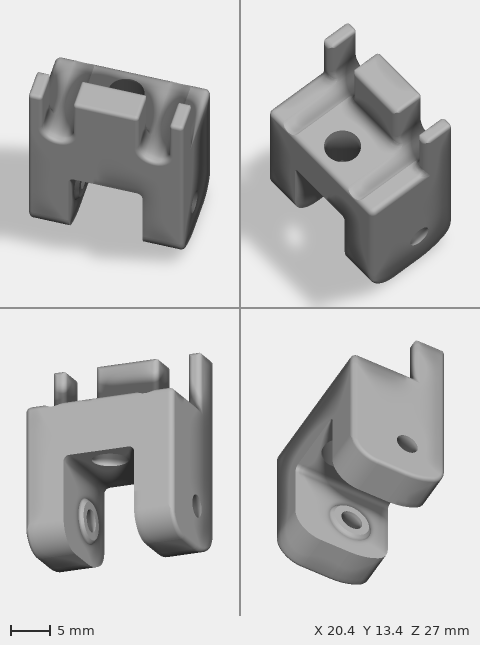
import cadquery as cq
import math

width = 20.4
depth = 13.4
height = 27.02

finger_depth = 4.4
ledge_height = 19.36

slot_radius = 2.05
slot_spacing = 12.7
slot_center_z = 20.95

gap_width = 9.7
gap_height = 12.0
gap_corner_radius = 0.75

pivot_y = 5.5
pivot_z = 5.73
pivot_diameter = 3.0
boss_base_diameter = 6.0
boss_height = 0.5
boss_tip_diameter = boss_base_diameter - 2 * boss_height

ledge_hole_diameter = 4.7
ledge_hole_y = 9.63

rear_corner_radius = 3.75
front_corner_radius = 2.8
sole_radius = 8.2

small_fillet = 0.5
large_fillet = 0.75


overrun = 1.0
tolerance = 0.01


def near(value, target):
    return abs(value - target) < tolerance


def runs_along_x(box):
    return not near(box.xmin, box.xmax)


def fillet_edges(solid, chosen, radius):
    """Round every edge whose bounding box passes the test `chosen`."""
    edges = [edge for edge in solid.edges().vals() if chosen(edge.BoundingBox())]
    return solid.newObject([solid.findSolid().fillet(radius, edges)])


def lug_profile():
    """Full-depth outline in the YZ plane, with all the lower corners rounded."""
    radius_gap = sole_radius - front_corner_radius
    center_offset_y = pivot_y - front_corner_radius
    front_center_z = sole_radius - math.sqrt(radius_gap**2 - center_offset_y**2)

    def front_arc_point(angle):
        return (
            front_corner_radius - front_corner_radius * math.cos(angle),
            front_center_z - front_corner_radius * math.sin(angle),
        )

    def sole_arc_point(angle):
        return (
            pivot_y - sole_radius * math.cos(angle),
            sole_radius - sole_radius * math.sin(angle),
        )

    meeting_angle = math.acos(center_offset_y / radius_gap)
    sole_middle_angle = (meeting_angle + math.pi / 2) / 2
    rear_middle = rear_corner_radius * (1 - math.sqrt(0.5))
    return (
        cq.Workplane("YZ", origin=(-width / 2, 0, 0))
        .moveTo(0, height)
        .lineTo(0, front_center_z)
        .threePointArc(front_arc_point(meeting_angle / 2), front_arc_point(meeting_angle))
        .threePointArc(sole_arc_point(sole_middle_angle), (pivot_y, 0))
        .lineTo(depth - rear_corner_radius, 0)
        .threePointArc((depth - rear_middle, rear_middle), (depth, rear_corner_radius))
        .lineTo(depth, height)
        .close()
    )


def slot_cutter(x, floor_z, length):
    """U-shaped slot from the front face backwards, cut off flat at floor_z."""
    top_z = height + overrun
    round_bottom = cq.Workplane("XZ").center(x, slot_center_z).circle(slot_radius).extrude(-length)
    straight_part = (
        cq.Workplane("XZ", origin=(x, 0, (slot_center_z + top_z) / 2))
        .rect(2 * slot_radius, top_z - slot_center_z)
        .extrude(-length)
    )
    above_floor = (
        cq.Workplane("XY", origin=(x, 0, floor_z))
        .rect(4 * slot_radius, 2 * (length + overrun))
        .extrude(top_z - floor_z)
    )
    return round_bottom.union(straight_part).intersect(above_floor)


def cut_slots(solid, floor_z, length):
    for side in (-1, 1):
        solid = solid.cut(slot_cutter(side * slot_spacing / 2, floor_z, length))
    return solid


def front_envelope():
    """Slotted full-depth block carrying the small roundings of front, sole, slots and tops."""
    slot_bottom_z = slot_center_z - slot_radius
    solid = lug_profile().extrude(width)
    solid = cut_slots(solid, 0, depth)

    def is_rounded(box):
        outer_side = near(abs(box.xmin), width / 2) and not runs_along_x(box)
        finger_top_side = box.zmin > height - tolerance and not runs_along_x(box)
        front_outline = box.ymax < tolerance and box.zmin > slot_bottom_z - tolerance
        behind = box.ymin > depth - tolerance
        return (outer_side or finger_top_side or front_outline) and not behind

    return fillet_edges(solid, is_rounded, small_fillet)


def rear_envelope():
    """Stepped block carrying the large roundings of the ledge, rear face and finger backs."""
    solid = (
        cq.Workplane("YZ", origin=(-width / 2, 0, 0))
        .moveTo(0, 0)
        .lineTo(0, height)
        .lineTo(finger_depth, height)
        .lineTo(finger_depth, ledge_height)
        .lineTo(depth, ledge_height)
        .lineTo(depth, 0)
        .close()
        .extrude(width)
    )

    def at_ledge_height(box):
        return near(box.zmin, ledge_height) and near(box.zmax, ledge_height)

    def at_finger_back(box):
        return near(box.ymin, finger_depth) and near(box.ymax, finger_depth)

    def is_ledge_or_rear(box):
        outer_side = near(abs(box.xmin), width / 2) and not runs_along_x(box)
        ledge_rim = at_ledge_height(box) and (outer_side or near(box.ymin, depth))
        rear_upright = outer_side and near(box.ymin, depth)
        return ledge_rim or rear_upright

    def is_finger_back(box):
        return at_finger_back(box) and box.zmax > ledge_height + tolerance

    def is_finger_root(box):
        return at_finger_back(box) and at_ledge_height(box)

    solid = fillet_edges(solid, is_ledge_or_rear, large_fillet)
    solid = cut_slots(solid, ledge_height, finger_depth)
    solid = fillet_edges(solid, is_finger_back, large_fillet)
    return fillet_edges(solid, is_finger_root, large_fillet)


def gap_cutter():
    """Gap between the lugs, open below, with rounded upper corners."""
    return (
        cq.Workplane("XY", origin=(0, depth / 2, -overrun))
        .rect(gap_width, depth + 2 * overrun)
        .extrude(gap_height + overrun)
        .edges("|Y and >Z")
        .fillet(gap_corner_radius)
    )


def pivot_boss(side):
    """Conical boss on the inner face of one lug, pointing into the gap."""
    return (
        cq.Workplane("YZ", origin=(side * gap_width / 2, pivot_y, pivot_z))
        .circle(boss_base_diameter / 2)
        .workplane(offset=-side * boss_height)
        .circle(boss_tip_diameter / 2)
        .loft()
    )


def pivot_hole():
    return (
        cq.Workplane("YZ", origin=(0, pivot_y, pivot_z))
        .circle(pivot_diameter / 2)
        .extrude(width, both=True)
    )


def ledge_hole():
    return (
        cq.Workplane("XY", origin=(0, ledge_hole_y, 0))
        .circle(ledge_hole_diameter / 2)
        .extrude(height)
    )


bracket = rear_envelope().intersect(front_envelope())
bracket = bracket.cut(gap_cutter())
for side in (-1, 1):
    bracket = bracket.union(pivot_boss(side))
bracket = bracket.cut(pivot_hole()).cut(ledge_hole())

result = bracket